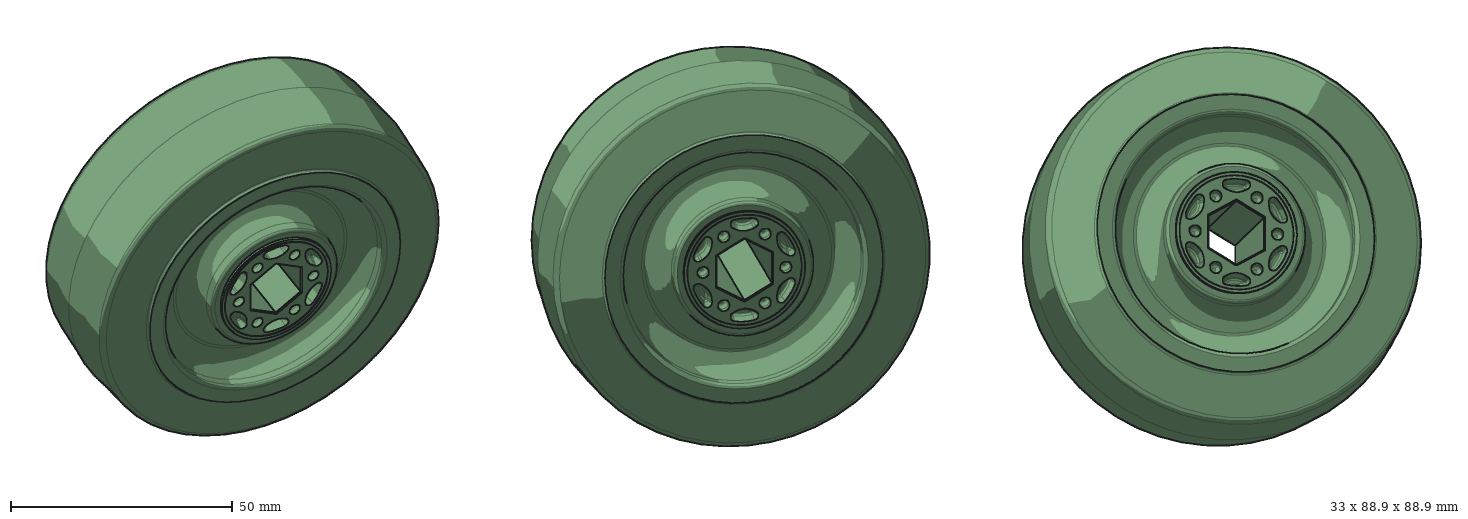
import cadquery as cq
import math

tread_radius = 44.45
shoulder_x = 12.6
shoulder_radius = 43.4
shoulder_round = 1.25
sidewall_foot_x = 14.9

rim_face_x = 15.8
rim_outer_radius = 32.0
rim_lip_round = 1.0
tread_foot_round = 0.5

hub_edge_round = 0.7
dish_floor_x = 8.45
dish_floor_outer_radius = 22.2
dish_floor_inner_radius = 21.5
dish_curve = 5.25
dish_draft = math.radians(5)

boss_lip_x = 16.5
boss_face_x = 16.4
boss_radius = 14.0
boss_lip_inner_radius = 13.2

hex_sides = 6
hex_across_flats = 12.7
hex_chamfer = 0.3

peg_hole_count = 6
peg_hole_circle_radius = 9.5
peg_hole_radius = 1.3
peg_hole_depth = 2.7
peg_hole_floor_radius = 0.45

pocket_count = 6
pocket_outer_radius = 12.4
pocket_vertex_radius = 8.6
pocket_tip_round = 1.1
pocket_vertex_round = 4.45
pocket_depth = 2.7
pocket_flank_slope = math.radians(30)
pocket_taper = 15.0
pocket_floor_round = 0.5


def arc_middle(start, end, center):
    """Point halfway along the shorter arc from start to end about center."""
    radius = math.dist(start, center)
    across = (start[0] + end[0]) / 2 - center[0]
    up = (start[1] + end[1]) / 2 - center[1]
    stretch = radius / math.hypot(across, up)
    return (center[0] + across * stretch, center[1] + up * stretch)


def dish_wall(floor_radius, edge_round, outward):
    """Corner points and arc middles from the dish floor to the face.

    The wall climbs from the floor through a large curve, a drafted cone and a rounded edge.
    outward is +1 for the rim wall and -1 for the hub wall.
    """
    sine = math.sin(dish_draft)
    cosine = math.cos(dish_draft)
    floor = (dish_floor_x, floor_radius)
    curve_center = (dish_floor_x + dish_curve, floor_radius)
    cone_foot = (curve_center[0] - dish_curve * sine, floor_radius + outward * dish_curve * cosine)
    edge_center_x = rim_face_x - edge_round
    cone_top_x = edge_center_x + edge_round * sine
    cone_rise = (cone_top_x - cone_foot[0]) * math.tan(dish_draft)
    cone_top = (cone_top_x, cone_foot[1] + outward * cone_rise)
    edge_center = (edge_center_x, cone_top[1] + outward * edge_round * cosine)
    face_edge = (rim_face_x, edge_center[1])
    curve_middle = arc_middle(floor, cone_foot, curve_center)
    edge_middle = arc_middle(cone_top, face_edge, edge_center)
    return floor, curve_middle, cone_foot, cone_top, edge_middle, face_edge


def half_wheel():
    """Solid of revolution about X for the half of the wheel with x >= 0."""
    shoulder = (shoulder_x, shoulder_radius)
    sidewall_top = (shoulder_x + shoulder_round, shoulder_radius - shoulder_round)
    shoulder_center = (shoulder_x, sidewall_top[1])
    sidewall_foot = (sidewall_foot_x, rim_outer_radius + tread_foot_round)
    tread_seat = (sidewall_foot_x + tread_foot_round, rim_outer_radius)
    seat_center = (tread_seat[0], sidewall_foot[1])
    rim_wall = dish_wall(dish_floor_outer_radius, rim_lip_round, 1)
    rim_floor, rim_curve, rim_cone_foot, rim_cone_top, rim_edge, rim_face = rim_wall
    hub_wall = dish_wall(dish_floor_inner_radius, hub_edge_round, -1)
    hub_floor, hub_curve, hub_cone_foot, hub_cone_top, hub_edge, hub_face = hub_wall
    profile = (
        cq.Workplane("XY")
        .moveTo(0, 0)
        .lineTo(0, tread_radius)
        .lineTo(*shoulder)
        .threePointArc(arc_middle(shoulder, sidewall_top, shoulder_center), sidewall_top)
        .lineTo(*sidewall_foot)
        .threePointArc(arc_middle(sidewall_foot, tread_seat, seat_center), tread_seat)
        .lineTo(rim_face_x, rim_outer_radius)
        .lineTo(*rim_face)
        .threePointArc(rim_edge, rim_cone_top)
        .lineTo(*rim_cone_foot)
        .threePointArc(rim_curve, rim_floor)
        .lineTo(*hub_floor)
        .threePointArc(hub_curve, hub_cone_foot)
        .lineTo(*hub_cone_top)
        .threePointArc(hub_edge, hub_face)
        .lineTo(rim_face_x, boss_radius)
        .lineTo(boss_lip_x, boss_radius)
        .lineTo(boss_lip_x, boss_lip_inner_radius)
        .lineTo(boss_face_x, boss_lip_inner_radius)
        .lineTo(boss_face_x, 0)
        .close()
    )
    return profile.revolve(360, (0, 0, 0), (1, 0, 0))


def hex_prism(across_flats, start_x, length, taper=0):
    """Hexagonal prism along +X with two corners on the Z axis."""
    corner_diameter = across_flats / math.cos(math.pi / hex_sides)
    return (
        cq.Workplane("YZ", origin=(start_x, 0, 0))
        .transformed(rotate=(0, 0, 90))
        .polygon(hex_sides, corner_diameter)
        .extrude(length, taper=taper)
    )


def axle_bore():
    """Hexagonal bore from the mid plane, chamfered at the boss face."""
    mouth_taper = -45
    bore = hex_prism(hex_across_flats, 0, boss_face_x)
    mouth = hex_prism(hex_across_flats, boss_face_x - hex_chamfer, hex_chamfer, mouth_taper)
    return bore.union(mouth)


def peg_hole():
    """Blind hole parallel to X, with a rounded floor edge."""
    floor_x = boss_face_x - peg_hole_depth
    floor_round = peg_hole_radius - peg_hole_floor_radius
    floor_edge = (floor_x, peg_hole_floor_radius)
    wall_foot = (floor_x + floor_round, peg_hole_radius)
    round_center = (wall_foot[0], peg_hole_floor_radius)
    return (
        cq.Workplane("XY")
        .moveTo(floor_x, 0)
        .lineTo(*floor_edge)
        .threePointArc(arc_middle(floor_edge, wall_foot, round_center), wall_foot)
        .lineTo(boss_face_x, peg_hole_radius)
        .lineTo(boss_face_x, 0)
        .close()
        .revolve(360, (0, 0, 0), (1, 0, 0))
        .translate((0, peg_hole_circle_radius, 0))
    )


def pocket():
    """Tapered pocket on the +Z side: a blunt V beside a bore corner, closed by an outer arc."""
    reach = pocket_outer_radius
    wing_height = pocket_vertex_radius + reach * math.tan(pocket_flank_slope)
    wedge = [
        (0, pocket_vertex_radius),
        (reach, wing_height),
        (-reach, wing_height),
        (0, pocket_vertex_radius),
    ]
    outline = (
        cq.Sketch()
        .circle(pocket_outer_radius)
        .polygon(wedge, mode="i")
        .vertices("<X or >X")
        .fillet(pocket_tip_round)
        .reset()
        .vertices("<Y")
        .fillet(pocket_vertex_round)
    )
    return (
        cq.Workplane("YZ", origin=(boss_face_x, 0, 0))
        .placeSketch(outline)
        .extrude(-pocket_depth, taper=pocket_taper)
        .faces("<X")
        .edges()
        .fillet(pocket_floor_round)
    )


def cut_ring(body, tool, count):
    """Cut equally spaced copies of tool around the X axis."""
    for index in range(count):
        body = body.cut(tool.rotate((0, 0, 0), (1, 0, 0), index * 360 / count))
    return body


half = half_wheel().cut(axle_bore())
half = cut_ring(half, peg_hole(), peg_hole_count)
half = cut_ring(half, pocket(), pocket_count)
result = half.union(half.mirror("YZ"))